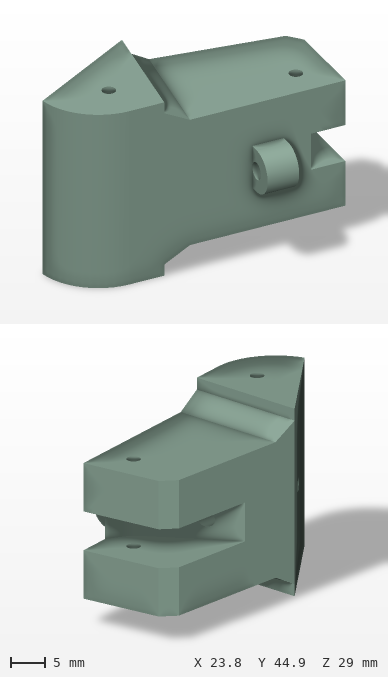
import cadquery as cq
import math

back_x = 18.85
total_length = 44.85
block_height = 29.0
arm_height = 20.95

left_corner = (0.0, 18.15)
front_tip = (10.5, 0.0)
round_start = (back_x, 9.85)
side_end = (3.5, 42.95)
end_corner = (5.7, total_length)

side_dx = side_end[0] - left_corner[0]
side_dy = side_end[1] - left_corner[1]
side_angle = math.degrees(math.atan2(side_dy, side_dx))
side_length = math.hypot(side_dx, side_dy)
block_back = (back_x, left_corner[1] - back_x * side_dx / side_dy)

taper_length = 4.13
taper_root_height = 25.3

cut_overrun = 4.5

slot_height = 6.0
slot_side_y = 28.8
slot_curve_start = (15.35, 35.4)
slot_curve_end = (17.2, 36.95)
slot_exit = (back_x, 39.3)

pin_diameter = 2.1
pin_places = [(12.1, 9.9), (13.75, 39.4)]
cord_diameter = 2.0
cord_entry = (3.75, 11.8)
cord_length = 26.9
cord_lead = 4.5

lug_front_y = 29.75
lug_width = 5.1
lug_radius = 3.45
lug_end_x = 23.8
lug_embed = 0.45
lug_hole_diameter = 2.75
lug_hole_x = 20.28


def make_block():
    """Tall front wedge with a rounded outer corner."""
    return (
        cq.Workplane("XY", origin=(0, 0, -block_height / 2))
        .moveTo(*front_tip)
        .lineTo(*left_corner)
        .lineTo(*block_back)
        .lineTo(*round_start)
        .tangentArcPoint(front_tip, relative=False)
        .close()
        .extrude(block_height)
    )


def make_arms():
    """Rear part, tapering in height from the block to the level arms."""
    plan = (
        cq.Workplane("XY", origin=(0, 0, -block_height / 2))
        .polyline([left_corner, side_end, end_corner, (back_x, total_length), block_back])
        .close()
        .extrude(block_height)
    )
    reach = side_length + 2 * cut_overrun
    upper = [(0, taper_root_height / 2), (taper_length, arm_height / 2), (reach, arm_height / 2)]
    lower = [(along, -height) for along, height in reversed(upper)]
    profile_plane = cq.Plane(
        origin=(left_corner[0], left_corner[1], 0),
        xDir=(side_dx, side_dy, 0),
        normal=(side_dy, -side_dx, 0),
    )
    envelope = (
        cq.Workplane(profile_plane)
        .polyline(upper + lower)
        .close()
        .extrude(back_x + cut_overrun, both=True)
    )
    return plan.intersect(envelope)


def make_slot():
    """Slot with a sloping floor that curves up to the back face."""
    side_x = (slot_side_y - left_corner[1]) * side_dx / side_dy
    floor_dx = slot_curve_start[0] - side_x
    floor_dy = slot_curve_start[1] - slot_side_y
    outside_x = side_x - cut_overrun
    outside_y = slot_side_y - cut_overrun * floor_dy / floor_dx
    far_y = total_length + cut_overrun
    return (
        cq.Workplane("XY", origin=(0, 0, -slot_height / 2))
        .moveTo(outside_x, outside_y)
        .lineTo(*slot_curve_start)
        .tangentArcPoint(slot_curve_end, relative=False)
        .lineTo(*slot_exit)
        .lineTo(back_x, far_y)
        .lineTo(outside_x, far_y)
        .close()
        .extrude(slot_height)
    )


def make_pin_holes():
    return (
        cq.Workplane("XY", origin=(0, 0, -block_height / 2))
        .pushPoints(pin_places)
        .circle(pin_diameter / 2)
        .extrude(block_height)
    )


def make_cord_hole():
    """Hole from the slanted front face to the slot floor, parallel to the side face."""
    angle = math.radians(side_angle)
    start = (
        cord_entry[0] - cord_lead * math.cos(angle),
        cord_entry[1] - cord_lead * math.sin(angle),
        0,
    )
    plane = cq.Plane(origin=start, xDir=(0, 0, 1), normal=(side_dx, side_dy, 0))
    return cq.Workplane(plane).circle(cord_diameter / 2).extrude(cord_length)


def make_lug():
    """Round-ended eye; its hole lies just outside the back face."""
    center_x = lug_end_x - lug_radius
    root_x = back_x - lug_embed
    return (
        cq.Workplane("XZ", origin=(0, lug_front_y + lug_width, 0))
        .moveTo(root_x, -lug_radius)
        .lineTo(center_x, -lug_radius)
        .threePointArc((lug_end_x, 0), (center_x, lug_radius))
        .lineTo(root_x, lug_radius)
        .close()
        .moveTo(lug_hole_x, 0)
        .circle(lug_hole_diameter / 2)
        .extrude(lug_width)
    )


body = make_block().union(make_arms())
body = body.cut(make_slot()).cut(make_pin_holes()).cut(make_cord_hole())
result = body.union(make_lug())